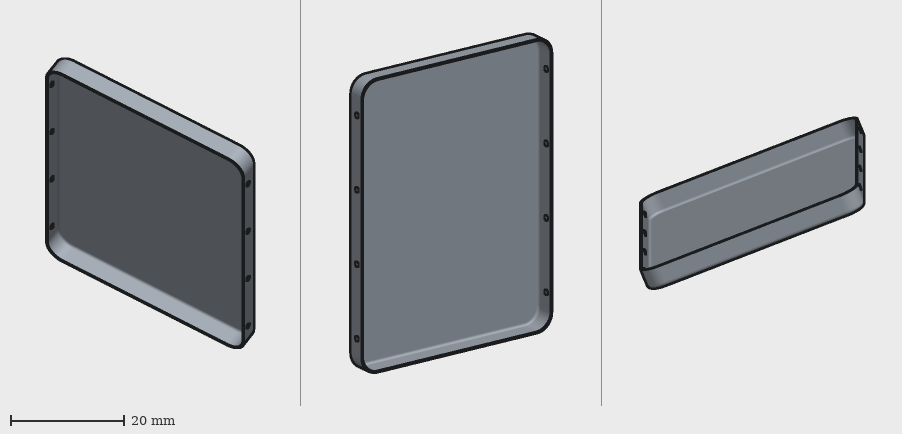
import cadquery as cq

WIDTH = 41.4
HEIGHT = 55.4
DEPTH = 4.0
WALL = 0.35
CORNER_RADIUS = 3.45
FLOOR_EDGE_RADIUS = 0.85

DIMPLE_COUNT = 4
DIMPLE_PITCH = 14.0
DIMPLE_FROM_RIM = 1.4
DIMPLE_RADIUS = 0.525
DIMPLE_DEPTH = 0.2


def rounded_block(inset, depth, floor_edge_radius):
    """Block from the rim plane toward +Y, inset from the outer outline on every side."""
    return (
        cq.Workplane("XZ")
        .rect(WIDTH - 2 * inset, HEIGHT - 2 * inset)
        .extrude(-depth)
        .edges("|Y")
        .fillet(CORNER_RADIUS - inset)
        .faces(">Y")
        .edges()
        .fillet(floor_edge_radius)
    )


def dimple_ball(side, surface_x, z):
    """Ball that reaches DIMPLE_DEPTH inward past the wall surface at surface_x."""
    ball_radius = (DIMPLE_RADIUS**2 + DIMPLE_DEPTH**2) / (2 * DIMPLE_DEPTH)
    center_x = side * (surface_x + ball_radius - DIMPLE_DEPTH)
    ball = cq.Workplane("XY").sphere(ball_radius).rotate((0, 0, 0), (0, 0, 1), 90)
    return ball.translate((center_x, DIMPLE_FROM_RIM, z))


outer_block = rounded_block(0, DEPTH, FLOOR_EDGE_RADIUS)
cavity = rounded_block(WALL, DEPTH - WALL, FLOOR_EDGE_RADIUS - WALL)

for side in (-1, 1):
    for index in range(DIMPLE_COUNT):
        z = (index - (DIMPLE_COUNT - 1) / 2) * DIMPLE_PITCH
        cavity = cavity.cut(dimple_ball(side, WIDTH / 2 - WALL, z))
        outer_block = outer_block.cut(dimple_ball(side, WIDTH / 2, z))

result = outer_block.cut(cavity)